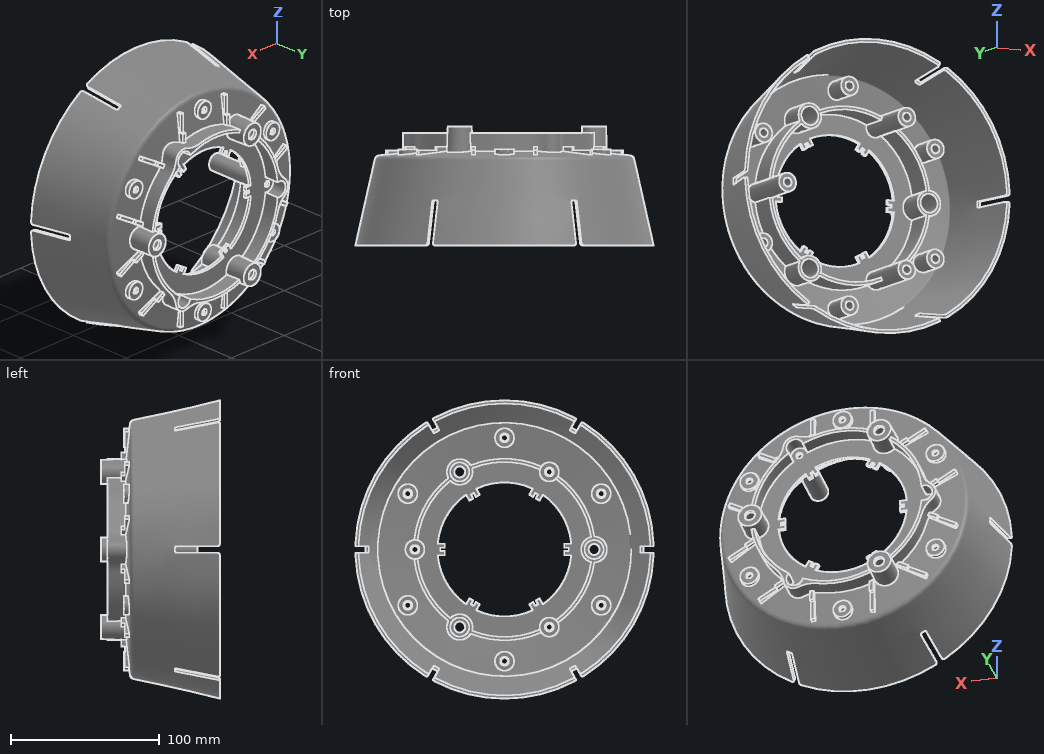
import cadquery as cq
import math


rim_radius = 100.2
skirt_slope = 0.225
wall = 2.2
disc_edge_y = 60.4
disc_centre_y = 63.8
outer_edge_fillet = 3.6
inner_edge_fillet = 1.0

collar_radius = 61.0
collar_inner_radius = collar_radius - wall
collar_front_y = 40.5
collar_back_y = 75.5
web_back_y = 64.0
web_front_y = web_back_y - wall

opening_radius = 45.0
tooth_tip_radius = 40.0
tooth_pair_width = 8.0
tooth_gap_width = 2.0
tooth_gap_radius = 43.1

slot_width = 4.2
slot_length = 30.3
slot_end_fillet = 1.0
slot_mouth_fillet = 2.0

inner_circle = 60.2
outer_circle = 75.0
screw_boss_radius = 6.5
screw_hole_radius = 3.0
screw_exit_radius = 2.2
outer_boss_front_y = collar_front_y
outer_boss_back_y = 64.5
long_boss_front_y = 15.0
bulge_radius = 8.0
bulge_fillet = 20.0
bulge_recess_radius = bulge_radius - wall

wide_boss_radius = 8.6
wide_boss_front_y = collar_front_y
wide_boss_back_y = 80.0
wide_boss_draft = 1.6
wide_bore_radius = 6.5
wide_exit_radius = 3.6

rib_offset = 20.9
rib_width = 2.6
rib_start = 56.1
rib_end = 79.2
rib_y = 64.0
rib_step_end = 65.2
rib_step_y = 66.4

wide_boss_angles = [0, 120, 240]
long_boss_angles = [60, 180, 300]
outer_boss_angles = [30, 90, 150, 210, 270, 330]
slot_angles = wide_boss_angles + long_boss_angles


def polar(radius, angle):
    """X and Z of a point on a circle about the part's axis."""
    turned = math.radians(angle)
    return radius * math.cos(turned), radius * math.sin(turned)


def cylinder(centre, radius, y_start, y_end, draft=0):
    """Cylinder along Y, centred on the given X and Z, narrowing towards y_end by the draft."""
    sketch = cq.Workplane("XZ", origin=(0, y_start, 0)).center(*centre).circle(radius)
    return sketch.extrude(y_start - y_end, taper=draft)


def block(x_start, x_end, y_start, y_end, width, z_centre=0):
    """Box between two X and two Y positions, centred on a Z position."""
    box = cq.Workplane("XY").box(x_end - x_start, y_end - y_start, width, centered=(False, False, True))
    return box.translate((x_start, y_start, z_centre))


def turn(body, angle):
    """Turn a body about the part's axis, from +X towards +Z."""
    return body.rotate((0, 0, 0), (0, 1, 0), -angle)


def domed_cone(base_radius, edge_y, centre_y, edge_fillet):
    """Solid under a skirt and a sloping disc, with the edge between them rounded."""
    edge_radius = base_radius - skirt_slope * edge_y
    outline = [
        (0, 0),
        (base_radius, 0),
        (edge_radius, edge_y),
        (collar_inner_radius, centre_y),
        (0, centre_y),
    ]
    body = cq.Workplane("XY").polyline(outline).close().revolve(360, (0, 0, 0), (0, 1, 0))
    edge_box = cq.selectors.BoxSelector(
        (-rim_radius, edge_y - 0.2, -rim_radius), (rim_radius, edge_y + 0.2, rim_radius))
    return body.edges("%CIRCLE").edges(edge_box).fillet(edge_fillet)


def rib_pair():
    """Two ribs parallel to X, higher next to the collar."""
    ribs = cq.Workplane("XY")
    for z_centre in (-rib_offset, rib_offset):
        low = block(rib_start, rib_end, web_front_y - wall, rib_y, rib_width, z_centre)
        high = block(rib_start, rib_step_end, web_front_y - wall, rib_step_y, rib_width, z_centre)
        ribs = ribs.union(low).union(high)
    return ribs


def shell():
    """Skirt and back disc with the ribs, open inside the collar."""
    body = domed_cone(rim_radius, disc_edge_y, disc_centre_y, outer_edge_fillet)
    for angle in outer_boss_angles:
        body = body.union(turn(rib_pair(), angle))
    inside = domed_cone(rim_radius - wall, disc_edge_y - wall, disc_centre_y - wall, inner_edge_fillet)
    return body.cut(inside).cut(cylinder((0, 0), collar_inner_radius, 0, collar_back_y))


def bulge():
    """Swelling of the collar behind the boss at angle 0, with concave blends at both sides."""
    blend_circle = collar_radius + bulge_fillet
    reach = bulge_radius + bulge_fillet
    cosine = (blend_circle**2 + inner_circle**2 - reach**2) / (2 * blend_circle * inner_circle)
    blend_angle = math.degrees(math.acos(cosine))
    blend_x, blend_z = polar(blend_circle, blend_angle)
    collar_x, collar_z = polar(collar_radius, blend_angle)
    boss_x = inner_circle + (blend_x - inner_circle) * bulge_radius / reach
    boss_z = blend_z * bulge_radius / reach
    return (
        cq.Workplane("XZ", origin=(0, web_front_y, 0))
        .lineTo(collar_x, -collar_z)
        .radiusArc((boss_x, -boss_z), bulge_fillet)
        .threePointArc((inner_circle + bulge_radius, 0), (boss_x, boss_z))
        .radiusArc((collar_x, collar_z), bulge_fillet)
        .close()
        .extrude(web_front_y - collar_back_y)
    )


def collar():
    """Ring with a bulge behind each long boss and a flat web across it."""
    ring = cylinder((0, 0), collar_radius, collar_front_y, collar_back_y)
    for angle in long_boss_angles:
        ring = ring.union(turn(bulge(), angle))
    ring = ring.cut(cylinder((0, 0), collar_inner_radius, collar_front_y, web_front_y))
    return ring.cut(cylinder((0, 0), collar_inner_radius, web_back_y, collar_back_y))


def tooth_pair():
    """Two teeth reaching from the edge of the opening towards the axis."""
    pair = block(tooth_tip_radius, opening_radius + wall, web_front_y, web_back_y, tooth_pair_width)
    gap = block(tooth_tip_radius, tooth_gap_radius, web_front_y, web_back_y, tooth_gap_width)
    return pair.cut(gap)


def skirt_slot():
    """Cutter for a slot through the skirt at angle 0, flared at the open rim."""
    half = slot_width / 2
    mouth = half + slot_mouth_fillet
    cutter = (
        cq.Workplane("YZ", origin=(rim_radius / 2, 0, 0))
        .moveTo(0, -mouth)
        .radiusArc((slot_mouth_fillet, -half), slot_mouth_fillet)
        .lineTo(slot_length, -half)
        .lineTo(slot_length, half)
        .lineTo(slot_mouth_fillet, half)
        .radiusArc((0, mouth), slot_mouth_fillet)
        .close()
        .extrude(rim_radius)
    )
    return cutter.edges("|X and >Y").fillet(slot_end_fillet)


def stepped_hole(centre, y_front, y_step, y_back, front_radius, back_radius):
    """Cutter for a hole that narrows at y_step."""
    hole = cylinder(centre, front_radius, y_front, y_step)
    return hole.union(cylinder(centre, back_radius, y_step, y_back))


result = shell().union(collar())

result = result.cut(cylinder((0, 0), opening_radius, web_front_y, web_back_y))
for angle in slot_angles:
    result = result.union(turn(tooth_pair(), angle))

for angle in slot_angles:
    result = result.cut(turn(skirt_slot(), angle))

for angle in outer_boss_angles:
    centre = polar(outer_circle, angle)
    boss = cylinder(centre, screw_boss_radius, outer_boss_front_y, outer_boss_back_y)
    hole = stepped_hole(
        centre, outer_boss_front_y, outer_boss_back_y - wall, outer_boss_back_y,
        screw_hole_radius, screw_exit_radius)
    result = result.union(boss).cut(hole)

for angle in long_boss_angles:
    centre = polar(inner_circle, angle)
    boss = cylinder(centre, screw_boss_radius, long_boss_front_y, web_back_y)
    hole = stepped_hole(
        centre, long_boss_front_y, web_front_y, web_back_y,
        screw_hole_radius, screw_exit_radius)
    recess = cylinder(centre, bulge_recess_radius, web_back_y, collar_back_y)
    result = result.union(boss).cut(hole).cut(recess)

for angle in wide_boss_angles:
    centre = polar(inner_circle, angle)
    front = cylinder(centre, wide_boss_radius, wide_boss_front_y, web_back_y)
    back = cylinder(centre, wide_boss_radius, web_back_y, wide_boss_back_y, wide_boss_draft)
    hole = stepped_hole(
        centre, wide_boss_front_y, wide_boss_back_y - wall, wide_boss_back_y,
        wide_bore_radius, wide_exit_radius)
    result = result.union(front).union(back).cut(hole)